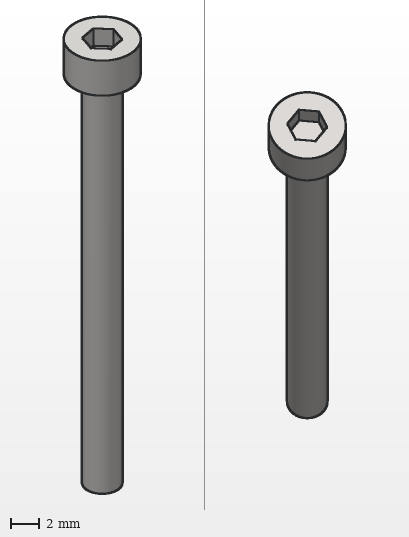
import cadquery as cq
import math

total_length = 38.0
head_diameter = 5.45
head_height = 3.0
shank_diameter = 2.9
socket_across_flats = 2.45
socket_depth = 1.5

shank_length = total_length - head_height
socket_across_corners = socket_across_flats / math.cos(math.radians(30))

shank = cq.Workplane("XY").circle(shank_diameter / 2).extrude(shank_length)
head = (
    cq.Workplane("XY")
    .workplane(offset=shank_length)
    .circle(head_diameter / 2)
    .extrude(head_height)
)

socket = (
    cq.Workplane("XY")
    .workplane(offset=total_length - socket_depth)
    .polygon(6, socket_across_corners)
    .extrude(socket_depth)
)

result = shank.union(head).cut(socket)